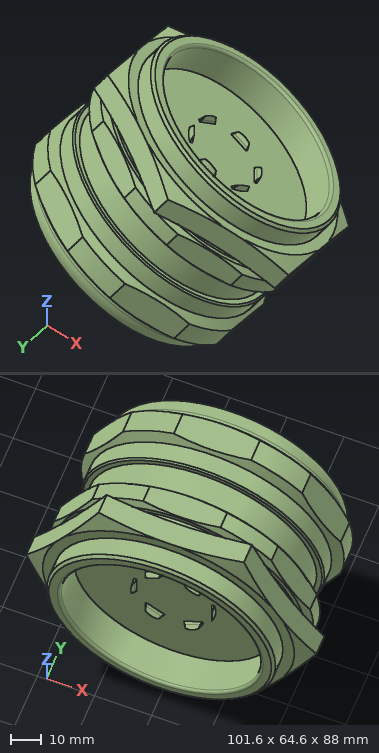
import cadquery as cq
import math


ACROSS_CORNERS = 101.6
CORNER_RADIUS = ACROSS_CORNERS / 2
FLAT_RADIUS = CORNER_RADIUS * math.cos(math.radians(30))
ROUNDED_CORNER_RADIUS = 46.0

BODY_RADIUS = 80.0 / 2
BODY_CHAMFER = 1.0
BORE_RADIUS = 70.0 / 2
BORE_DEPTH = 12.6
BORE_MOUTH_FILLET = 1.0

NUT_FRONT = 7.5
NUT_FRONT_CORNER = 10.0
NUT_REAR_SEAT = 15.4
NUT_REAR_CORNER = 17.1

RING_RADIUS = 41.9
RING_ROUND = 3.3

COLLAR_FRONT = 17.9
COLLAR_REAR = 26.6
COLLAR_FACE_RADIUS = 43.6

SKIRT_RADIUS = 42.5
SKIRT_FRONT = 37.5
SKIRT_CHAMFER = 0.6
CAP_HEX_FRONT = 44.4
CAP_HEX_REAR = 56.4
CAP_REAR = 64.6
DOME_RADIUS = 7.0

BEVEL_SLOPE = math.tan(math.radians(30))

TOOTH_COUNT = 6
TOOTH_HEIGHT = 2.5
TOOTH_OUTER_RADIUS = 14.5
TOOTH_TIP_RADIUS = 14.2
TOOTH_INNER_FLAT = 13.1
TOOTH_RIDGE_FLAT = 13.4
TOOTH_RIDGE_HEIGHT = 0.9
TOOTH_WIDTH = 7.3
TOOTH_TIP_WIDTH = 4.9


def turned(profile):
    """Revolve a closed (radius, y) profile about the Y axis."""
    return cq.Workplane("XY").polyline(profile).close().revolve(360, (0, 0, 0), (0, 1, 0))


def cylinder(radius, front, rear):
    return turned([(0, front), (radius, front), (radius, rear), (0, rear)])


def hexagon(front, rear):
    """Hexagonal prism along Y with two corners on the X axis."""
    prism = cq.Workplane("XZ").polygon(6, ACROSS_CORNERS).extrude(-(rear - front))
    return prism.translate((0, front, 0))


def bevelled_hexagon(front, rear, face_radius):
    """Hexagonal band with turned-down corners and a bevel from face_radius at each end."""
    bevel = (ROUNDED_CORNER_RADIUS - face_radius) * BEVEL_SLOPE
    envelope = turned([
        (0, front),
        (face_radius, front),
        (ROUNDED_CORNER_RADIUS, front + bevel),
        (ROUNDED_CORNER_RADIUS, rear - bevel),
        (face_radius, rear),
        (0, rear),
    ])
    return hexagon(front, rear).intersect(envelope)


def make_body():
    body = cylinder(BODY_RADIUS, 0, SKIRT_FRONT).faces("<Y").edges().chamfer(BODY_CHAMFER)
    collar = bevelled_hexagon(COLLAR_FRONT, COLLAR_REAR, COLLAR_FACE_RADIUS)
    return body.union(collar)


def make_locknut():
    envelope = turned([
        (0, NUT_FRONT),
        (FLAT_RADIUS, NUT_FRONT),
        (CORNER_RADIUS, NUT_FRONT_CORNER),
        (CORNER_RADIUS, NUT_REAR_CORNER),
        (FLAT_RADIUS, NUT_REAR_SEAT),
        (0, NUT_REAR_SEAT),
    ])
    return hexagon(NUT_FRONT, NUT_REAR_CORNER).intersect(envelope)


def make_sealing_ring():
    """Ring whose rounded side curves inward from the collar to the locknut."""
    sweep = math.asin((COLLAR_FRONT - NUT_REAR_SEAT) / RING_ROUND)

    def side_point(angle):
        radius = RING_RADIUS - RING_ROUND * (1 - math.cos(angle))
        return radius, COLLAR_FRONT - RING_ROUND * math.sin(angle)

    return (
        cq.Workplane("XY")
        .moveTo(0, COLLAR_FRONT)
        .lineTo(*side_point(0))
        .threePointArc(side_point(sweep / 2), side_point(sweep))
        .lineTo(0, NUT_REAR_SEAT)
        .close()
        .revolve(360, (0, 0, 0), (0, 1, 0))
    )


def make_cap():
    skirt = cylinder(SKIRT_RADIUS, SKIRT_FRONT, CAP_REAR)
    skirt = skirt.faces(">Y").edges().fillet(DOME_RADIUS)
    skirt = skirt.faces("<Y").edges().chamfer(SKIRT_CHAMFER)
    return skirt.union(bevelled_hexagon(CAP_HEX_FRONT, CAP_HEX_REAR, SKIRT_RADIUS))


def make_socket():
    """Volume removed from the front end, widening at a rounded mouth."""
    mouth_radius = BORE_RADIUS + BORE_MOUTH_FILLET
    mid_angle = math.radians(45)
    arc_middle = (
        mouth_radius - BORE_MOUTH_FILLET * math.cos(mid_angle),
        BORE_MOUTH_FILLET * (1 - math.sin(mid_angle)),
    )
    return (
        cq.Workplane("XY")
        .moveTo(0, 0)
        .lineTo(mouth_radius, 0)
        .threePointArc(arc_middle, (BORE_RADIUS, BORE_MOUTH_FILLET))
        .lineTo(BORE_RADIUS, BORE_DEPTH)
        .lineTo(0, BORE_DEPTH)
        .close()
        .revolve(360, (0, 0, 0), (0, 1, 0))
    )


def make_tooth():
    """Tooth on the +X side: round tapered outer face, tapered ends, sloping flat inner faces."""
    floor = BORE_DEPTH
    tip = floor - TOOTH_HEIGHT
    ridge = floor - TOOTH_RIDGE_HEIGHT
    outer_cone = turned([
        (0, floor),
        (TOOTH_OUTER_RADIUS, floor),
        (TOOTH_TIP_RADIUS, tip),
        (0, tip),
    ])
    inner_faces = (
        cq.Workplane("XY")
        .polyline([
            (TOOTH_INNER_FLAT, floor),
            (TOOTH_OUTER_RADIUS, floor),
            (TOOTH_OUTER_RADIUS, tip),
            (TOOTH_TIP_RADIUS, tip),
            (TOOTH_RIDGE_FLAT, ridge),
        ])
        .close()
        .extrude(TOOTH_WIDTH / 2, both=True)
    )
    tapered_ends = (
        cq.Workplane("YZ")
        .polyline([
            (floor, -TOOTH_WIDTH / 2),
            (floor, TOOTH_WIDTH / 2),
            (tip, TOOTH_TIP_WIDTH / 2),
            (tip, -TOOTH_TIP_WIDTH / 2),
        ])
        .close()
        .extrude(TOOTH_OUTER_RADIUS)
    )
    return inner_faces.intersect(outer_cone).intersect(tapered_ends)


result = make_body().union(make_locknut()).union(make_sealing_ring()).union(make_cap())
result = result.cut(make_socket())
tooth = make_tooth()
for index in range(TOOTH_COUNT):
    result = result.union(tooth.rotate((0, 0, 0), (0, 1, 0), index * 360 / TOOTH_COUNT))